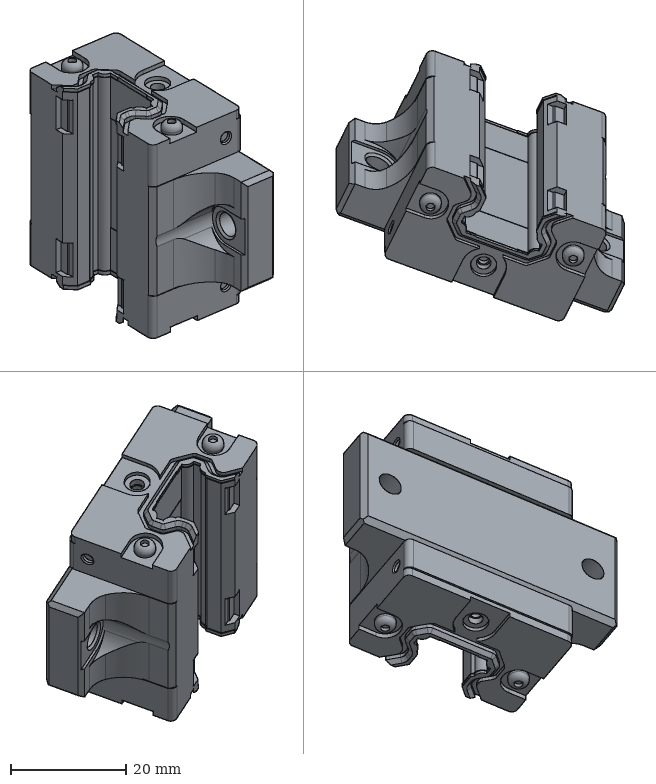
import cadquery as cq
import math


width = 52.0
height = 20.7
length = 40.6

block_half_length = 11.0
block_half_width = 17.0
block_foot_chamfer = 1.05
flange_underside = 13.2
flange_top_chamfer = 1.05
flange_edge_chamfer = 0.85
flange_blend_radius = 4.8
leg_blend_radius = 10.0
blend_meeting_angle = 45.5

hole_x = 20.5
hole_diameter = 4.4
hole_mouth_diameter = 5.3
spotface_radius = 3.65
spotface_depth = 0.45
clearance_x = 21.9
clearance_radius = 4.95

cap_half_width = 16.9
cap_face = 19.55
cap_step_z = 17.8
cap_top = 20.55
cap_step_top = 20.25
cap_corner_radius = 1.15

opening_top = 9.8
ceiling_step = 0.05
cap_ceiling = opening_top - ceiling_step
opening_throat = 5.5
opening_mouth = 7.35
opening_waist = 7.5
ball_row_radius = 1.5
upper_row_y = 9.65
lower_row_y = 5.05

recess_foot_x = 10.3
recess_neck_x = 7.75
recess_neck_top = 3.75
recess_shoulder_x = 9.7
recess_shoulder_top = 9.0
recess_top = 12.05
seal_recess_depth = 0.85
seal_recess_corner = 1.05

seal_foot_x = 9.05
seal_neck_x = 6.75
seal_neck_top = 4.0
seal_shoulder_x = 8.85
seal_shoulder_top = 8.75
seal_top = 10.95
seal_corner = 1.3
seal_chamfer = 0.75
seal_overlap = 0.15
seal_relief_half_width = 3.9

overrun = 2.6

port_y = 15.35
port_pad_radius = 3.95
port_counterbore_diameter = 4.5
port_counterbore_depth = 0.8
port_diameter = 2.5
port_depth = 2.1
port_tip_diameter = 2.0
port_tip_depth = 3.1

screw_x = 13.45
left_screw_pocket_y = 7.2
right_screw_pocket_y = 7.0
screw_y = 7.3
screw_pocket_radius = 3.0
screw_pocket_depth = 1.0
screw_head_diameter = 3.8
screw_head_rim_height = 0.45
screw_head_height = 1.65
screw_dome_bulge = 0.25
screw_socket_diameter = 1.5
screw_socket_depth = 0.8

side_hole_y = 16.7
side_hole_z = 14.85
side_hole_diameter = 2.0
side_hole_mouth_diameter = 2.5
side_hole_depth = 0.8

window_top_z = 17.85
window_outer_x = 9.1
window_step_x = 7.35
window_inner_x = 6.0
window_depth = 1.1
window_step = 0.2


def both_sides(half):
    """Add the mirror image of a shape across the X = 0 plane."""
    return half.union(half.mirror("YZ"))


def plate(outline, z_low, z_high):
    """Extrude a closed XY outline between two heights."""
    return outline.extrude(z_high - z_low).translate((0, 0, z_low))


def box_between(x_low, x_high, y_low, y_high, z_low, z_high):
    """Box given by its limits along each axis."""
    size = (x_high - x_low, y_high - y_low, z_high - z_low)
    return cq.Workplane("XY").box(*size, centered=False).translate((x_low, y_low, z_low))


def seal_path_outline(foot_x, neck_x, shoulder_x, neck_top, shoulder_top, top):
    """Outline around the rail opening: necked in at the feet, with 45-degree slopes throughout."""
    right_points = [
        (foot_x + overrun, -overrun),
        (neck_x, foot_x - neck_x),
        (neck_x, neck_top),
        (shoulder_x, neck_top + shoulder_x - neck_x),
        (shoulder_x, shoulder_top),
        (shoulder_x - (top - shoulder_top), top),
    ]
    left_points = [(-x, y) for x, y in reversed(right_points)]
    return cq.Workplane("XY").polyline(right_points + left_points).close()


def rail_opening_outline(ceiling):
    """Rail opening, with the convex ball rows as arcs, running out below the foot."""
    row_x = opening_waist
    diagonal = ball_row_radius * math.sqrt(0.5)
    row_edge = row_x - ball_row_radius
    throat_low = opening_mouth - opening_throat
    throat_high = lower_row_y - (row_edge - opening_throat)
    return (
        cq.Workplane("XY")
        .moveTo(opening_mouth + overrun, -overrun)
        .lineTo(opening_throat, throat_low)
        .lineTo(opening_throat, throat_high)
        .lineTo(row_edge, lower_row_y)
        .threePointArc((row_x - diagonal, lower_row_y + diagonal), (row_x, lower_row_y + ball_row_radius))
        .lineTo(row_x, upper_row_y - ball_row_radius)
        .threePointArc((row_x - diagonal, upper_row_y - diagonal), (row_edge, upper_row_y))
        .lineTo(row_edge, ceiling)
        .lineTo(-row_edge, ceiling)
        .lineTo(-row_edge, upper_row_y)
        .threePointArc((diagonal - row_x, upper_row_y - diagonal), (-row_x, upper_row_y - ball_row_radius))
        .lineTo(-row_x, lower_row_y + ball_row_radius)
        .threePointArc((diagonal - row_x, lower_row_y + diagonal), (-row_edge, lower_row_y))
        .lineTo(-opening_throat, throat_high)
        .lineTo(-opening_throat, throat_low)
        .lineTo(-opening_mouth - overrun, -overrun)
        .close()
    )


def polar(centre_x, centre_y, radius, degrees):
    """Point at an angle on a circle."""
    angle = math.radians(degrees)
    return (centre_x + radius * math.cos(angle), centre_y + radius * math.sin(angle))


def flange_half():
    """Right half of the block: leg, flange and the two tangent arcs that blend them."""
    meeting = 90 + blend_meeting_angle
    leg_offset = leg_blend_radius - flange_blend_radius
    leg_centre_x = block_half_width + leg_blend_radius
    link_x, link_y = polar(0, 0, leg_offset, meeting)
    flange_centre_x = leg_centre_x + link_x
    flange_centre_y = flange_underside - flange_blend_radius
    leg_centre_y = flange_centre_y - link_y
    outline = (
        cq.Workplane("XY")
        .moveTo(0, 0)
        .lineTo(block_half_width - block_foot_chamfer, 0)
        .lineTo(block_half_width, block_foot_chamfer)
        .lineTo(block_half_width, leg_centre_y)
        .threePointArc(
            polar(leg_centre_x, leg_centre_y, leg_blend_radius, (180 + meeting) / 2),
            polar(leg_centre_x, leg_centre_y, leg_blend_radius, meeting),
        )
        .threePointArc(
            polar(flange_centre_x, flange_centre_y, flange_blend_radius, (meeting + 90) / 2),
            (flange_centre_x, flange_underside),
        )
        .lineTo(width / 2 - flange_edge_chamfer, flange_underside)
        .lineTo(width / 2, flange_underside + flange_edge_chamfer)
        .lineTo(width / 2, height - flange_top_chamfer)
        .lineTo(width / 2 - flange_top_chamfer, height)
        .lineTo(0, height)
        .close()
    )
    half = plate(outline, -block_half_length, block_half_length)
    envelope = box_between(-width / 2, width / 2, 0, height, -block_half_length, block_half_length)
    end_bevels = envelope.faces(">Y").edges("|X").chamfer(flange_top_chamfer)
    corner_bevels = envelope.edges("|Y").chamfer(flange_edge_chamfer)
    return half.intersect(corner_bevels).intersect(end_bevels)


def mounting_cut():
    """Right mounting hole with its spotface and the clearance below the flange."""
    spotface_y = flange_underside + spotface_depth

    def open_slot(centre_x, radius, top_y):
        """Slot below a height, rounded towards the leg and open at the flange edge."""
        round_end = (
            cq.Workplane("XZ").center(centre_x, 0).circle(radius).extrude(top_y + overrun)
            .translate((0, top_y, 0))
        )
        return round_end.union(box_between(centre_x, width, -overrun, top_y, -radius, radius))

    spotface = open_slot(hole_x, spotface_radius, spotface_y)
    clearance = open_slot(clearance_x, clearance_radius, flange_underside)
    hole_axis = cq.Workplane("XZ").center(hole_x, 0)
    hole = hole_axis.circle(hole_diameter / 2).extrude(-height - overrun)
    mouth = cq.Workplane("XY").add(
        cq.Solid.makeCone(
            hole_mouth_diameter / 2,
            hole_diameter / 2,
            (hole_mouth_diameter - hole_diameter) / 2,
            pnt=cq.Vector(hole_x, spotface_y, 0),
            dir=cq.Vector(0, 1, 0),
        )
    )
    return spotface.union(clearance).union(hole).union(mouth)


def cap_section(top, z_low, z_high):
    """Length of end cap with rounded corners, standing on the foot plane."""
    section = box_between(-cap_half_width, cap_half_width, 0, top, z_low, z_high)
    return section.edges("|Z").fillet(cap_corner_radius)


def port_cut():
    """Lubrication port, its counterbore and the sunk pad around it."""
    pad_floor = cap_face - seal_recess_depth

    def bore(diameter, depth):
        """Round hole going down from the pad floor."""
        return plate(cq.Workplane("XY").center(0, port_y).circle(diameter / 2), pad_floor - depth, length)

    pad = bore(2 * port_pad_radius, 0)
    pad = pad.union(box_between(-port_pad_radius, port_pad_radius, port_y, height, pad_floor, length))
    pad = pad.union(bore(port_counterbore_diameter, port_counterbore_depth))
    pad = pad.union(bore(port_diameter, port_depth))
    return pad.union(bore(port_tip_diameter, port_tip_depth))


def seal_recess():
    """Sunk area of the cap face that holds the seal."""
    outline = seal_path_outline(
        recess_foot_x, recess_neck_x, recess_shoulder_x, recess_neck_top, recess_shoulder_top, recess_top
    )
    recess = plate(outline, cap_face - seal_recess_depth, length)
    return recess.edges("|Z and (not <Y)").fillet(seal_recess_corner)


def seal():
    """Seal lip: straight in the recess, chamfered where it stands out of the cap."""
    outline = seal_path_outline(
        seal_foot_x, seal_neck_x, seal_shoulder_x, seal_neck_top, seal_shoulder_top, seal_top
    )
    lip = plate(outline, cap_face - seal_recess_depth, length / 2)
    lip = lip.edges("|Z and (not <Y)").fillet(seal_corner)
    lip = lip.faces(">Z").edges("not <Y").chamfer(seal_chamfer)
    lip_opening = plate(rail_opening_outline(cap_ceiling).offset2D(-seal_overlap), cap_face, length)
    relief_top = cap_ceiling - ceiling_step
    relief = box_between(-seal_relief_half_width, seal_relief_half_width, 0, relief_top, cap_face, length)
    lip_opening = lip_opening.union(relief)
    opening = plate(rail_opening_outline(cap_ceiling), 0, cap_face).union(lip_opening)
    return lip.cut(opening).cut(box_between(-width, width, -width, 0, 0, length))


def screw_pocket(side, pocket_y):
    """Pocket around a cap screw, open to the cap side."""
    floor = cap_face - screw_pocket_depth
    pocket = plate(
        cq.Workplane("XY").center(side * screw_x, pocket_y).circle(screw_pocket_radius), floor, length
    )
    x_low, x_high = sorted((side * screw_x, side * width))
    y_low = pocket_y - screw_pocket_radius
    y_high = pocket_y + screw_pocket_radius
    return pocket.union(box_between(x_low, x_high, y_low, y_high, floor, length))


def screw_head(side):
    """Button head of a cap screw with a blind socket."""
    radius = screw_head_diameter / 2
    top_radius = screw_socket_diameter / 2
    socket_floor = screw_head_height - screw_socket_depth
    dome_middle = (
        (radius + top_radius) / 2 + screw_dome_bulge,
        (screw_head_rim_height + screw_head_height) / 2 + screw_dome_bulge,
    )
    head = (
        cq.Workplane("XZ")
        .lineTo(radius, 0)
        .lineTo(radius, screw_head_rim_height)
        .threePointArc(dome_middle, (top_radius, screw_head_height))
        .lineTo(top_radius, socket_floor)
        .lineTo(0, socket_floor)
        .close()
        .revolve(360, (0, 0), (0, 1))
    )
    return head.translate((side * screw_x, screw_y, cap_face - screw_pocket_depth))


def side_hole():
    """Blind countersunk hole in the right side of the cap."""
    radius = side_hole_diameter / 2
    mouth_radius = side_hole_mouth_diameter / 2
    profile = (
        cq.Workplane("XY")
        .lineTo(mouth_radius, 0)
        .lineTo(radius, radius - mouth_radius)
        .lineTo(radius, -side_hole_depth)
        .lineTo(0, -side_hole_depth)
        .close()
    )
    hole = profile.revolve(360, (0, 0), (0, 1)).rotate((0, 0, 0), (0, 0, 1), -90)
    return hole.translate((cap_half_width, side_hole_y, side_hole_z))


def window():
    """Stepped window in the right foot of the cap, open to the rail opening."""
    deep = window_depth + window_step
    outline = cq.Workplane("XY").polyline([
        (window_outer_x, -overrun),
        (window_outer_x, window_depth),
        (window_step_x, window_depth),
        (window_step_x - window_step, deep),
        (window_inner_x, deep),
        (window_inner_x, -overrun),
    ]).close()
    return plate(outline, block_half_length, window_top_z)


def end_cap():
    """Complete end cap at the +Z end."""
    cap = cap_section(cap_top, block_half_length, cap_step_z)
    cap = cap.union(cap_section(cap_step_top, cap_step_z, cap_face))
    cap = cap.cut(plate(rail_opening_outline(cap_ceiling), 0, length))
    cap = cap.cut(seal_recess()).cut(port_cut())
    cap = cap.cut(both_sides(side_hole())).cut(both_sides(window()))
    for side, pocket_y in ((-1, left_screw_pocket_y), (1, right_screw_pocket_y)):
        cap = cap.cut(screw_pocket(side, pocket_y)).union(screw_head(side))
    return cap.union(seal())


block = both_sides(flange_half())
block = block.cut(both_sides(mounting_cut()))
block = block.cut(plate(rail_opening_outline(opening_top), -length, length))

cap = end_cap()
opposite_cap = cap.rotate((0, 0, 0), (0, 1, 0), 180)
result = block.union(cap).union(opposite_cap)